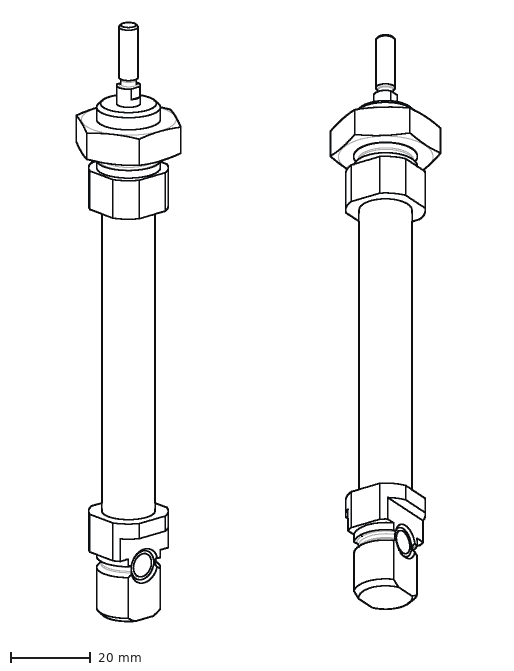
import cadquery as cq
import math

total_height = 155.8
rod_thread_length = 16.0
rod_shoulder_z = total_height - rod_thread_length
wrench_flat_height = 2.8
nose_top_z = 135.0
nut_bottom_z = 122.8
nut_height = 8.0
front_cap_top_z = 118.0
front_cap_bottom_z = 107.8
rear_cap_top_z = 27.0
rear_cap_bottom_z = 17.0
lug_top_z = 23.0

tube_diameter = 13.3
cap_diameter = 20.0
cap_across_flats = 18.0
neck_diameter = 16.0
groove_diameter = 13.7
groove_length = 2.9
groove_corner_radius = 0.5
shoulder_length = 2.0
nose_chamfer = 1.0
tail_chamfer = 1.3
lug_thickness = 12.0
pivot_z = 14.0
pivot_diameter = 6.0
pivot_recess_diameter = 7.5
pivot_rim_diameter = 8.9

rod_diameter = 6.0
rod_across_flats = 5.25
rod_thread_diameter = 4.83
rod_tip_diameter = 3.9
rod_tip_chamfer_height = 0.55
relief_diameter = 3.97
relief_length = 2.1
relief_corner_radius = 0.35
rod_end_z = front_cap_bottom_z

nut_across_flats = 24.0
nut_across_corners = nut_across_flats / math.cos(math.pi / 6)
nut_face_diameter = 23.7
nut_chamfer_angle = math.radians(15)


def cylinder(diameter, bottom_z, top_z):
    height = top_z - bottom_z
    return cq.Workplane("XY").workplane(offset=bottom_z).circle(diameter / 2).extrude(height)


def turned(half_profile):
    """Revolve a list of (radius, z) points, closed along the Z axis."""
    points = [(0, half_profile[0][1])] + half_profile + [(0, half_profile[-1][1])]
    return cq.Workplane("XZ").polyline(points).close().revolve(360, (0, 0, 0), (0, 1, 0))


def flatted_cap(bottom_z, top_z):
    """Round cap with four wrench flats."""
    height = top_z - bottom_z
    square = cq.Workplane("XY").workplane(offset=bottom_z).rect(cap_across_flats, cap_across_flats)
    return cylinder(cap_diameter, bottom_z, top_z).intersect(square.extrude(height))


def relief_groove(outer_diameter, floor_diameter, corner_radius, length, shoulder_z, direction):
    """Ring to cut beside a shoulder: square side, rounded corners and a 45 degree run-out.

    direction is +1 when the groove lies above the shoulder and -1 when it lies below.
    """
    outer_r = outer_diameter / 2
    floor_r = floor_diameter / 2
    runout_z = shoulder_z + direction * length
    floor_end_z = runout_z - direction * (outer_r - floor_r)
    profile = cq.Workplane("XZ").polyline([
        (floor_r, shoulder_z),
        (outer_r, shoulder_z),
        (outer_r, runout_z),
        (floor_r, floor_end_z),
    ])
    ring = profile.close().revolve(360, (0, 0, 0), (0, 1, 0))
    return ring.edges(cq.selectors.RadiusNthSelector(0)).fillet(corner_radius)


def threaded_nose():
    neck_r = neck_diameter / 2
    nose = turned([
        (neck_r, front_cap_bottom_z),
        (neck_r, nose_top_z - nose_chamfer),
        (neck_r - nose_chamfer, nose_top_z),
    ])
    shoulder_z = front_cap_top_z + shoulder_length
    return nose.cut(relief_groove(neck_diameter, groove_diameter, groove_corner_radius,
                                  groove_length, shoulder_z, 1))


def threaded_tail():
    neck_r = neck_diameter / 2
    tail = turned([
        (neck_r - tail_chamfer, 0),
        (neck_r, tail_chamfer),
        (neck_r, rear_cap_top_z),
    ])
    shoulder_z = rear_cap_bottom_z - shoulder_length
    return tail.cut(relief_groove(neck_diameter, groove_diameter, groove_corner_radius,
                                  groove_length, shoulder_z, -1))


def pivot_hole():
    """Cross hole along X, with a flat-floored, sloping-walled recess at both lug faces."""
    half_length = lug_thickness / 2
    rim_r = pivot_rim_diameter / 2
    recess_r = pivot_recess_diameter / 2
    recess_depth = rim_r - recess_r
    hole = cq.Workplane("YZ").center(0, pivot_z).circle(pivot_diameter / 2).extrude(half_length, both=True)
    for side in (-1, 1):
        face_centre = cq.Vector(side * half_length, 0, pivot_z)
        inward = cq.Vector(-side, 0, 0)
        recess = cq.Solid.makeCone(rim_r, recess_r, recess_depth, face_centre, inward)
        hole = hole.union(cq.Workplane(recess))
    return hole


def lug_side(side):
    """Material removed beside the pivot lug."""
    width = cap_diameter
    centre_x = side * (lug_thickness + width) / 2
    return cq.Workplane("XY").center(centre_x, 0).rect(width, 2 * cap_diameter).extrude(lug_top_z)


def build_rod():
    rod_r = rod_diameter / 2
    thread_r = rod_thread_diameter / 2
    tip_r = rod_tip_diameter / 2
    rod = turned([
        (rod_r, rod_end_z),
        (rod_r, rod_shoulder_z),
        (thread_r, rod_shoulder_z),
        (thread_r, total_height - rod_tip_chamfer_height),
        (tip_r, total_height),
    ])
    rod = rod.cut(relief_groove(rod_thread_diameter, relief_diameter, relief_corner_radius,
                                relief_length, rod_shoulder_z, 1))
    flat_z = rod_shoulder_z - wrench_flat_height
    for side in (-1, 1):
        centre_x = side * (rod_across_flats + rod_diameter) / 2
        cutter = cq.Workplane("XY").workplane(offset=flat_z).center(centre_x, 0)
        rod = rod.cut(cutter.rect(rod_diameter, 2 * rod_diameter).extrude(wrench_flat_height))
    return rod


def build_housing():
    housing = cylinder(tube_diameter, rear_cap_top_z, front_cap_bottom_z)
    housing = housing.union(flatted_cap(front_cap_bottom_z, front_cap_top_z))
    housing = housing.union(flatted_cap(rear_cap_bottom_z, rear_cap_top_z))
    housing = housing.union(threaded_nose()).union(threaded_tail())
    for side in (-1, 1):
        housing = housing.cut(lug_side(side))
    return housing.cut(pivot_hole()).cut(cylinder(rod_diameter, rod_end_z, nose_top_z))


def build_nut():
    hexagon = cq.Workplane("XY").workplane(offset=nut_bottom_z).polygon(6, nut_across_corners)
    nut = hexagon.extrude(nut_height).rotate((0, 0, 0), (0, 0, 1), 90)
    corner_r = nut_across_corners / 2
    face_r = nut_face_diameter / 2
    bevel = (corner_r - face_r) * math.tan(nut_chamfer_angle)
    nut_top_z = nut_bottom_z + nut_height
    envelope = turned([
        (face_r, nut_bottom_z),
        (corner_r, nut_bottom_z + bevel),
        (corner_r, nut_top_z - bevel),
        (face_r, nut_top_z),
    ])
    return nut.intersect(envelope).cut(cylinder(neck_diameter, nut_bottom_z, nut_top_z))


housing = build_housing()
rod = build_rod()
nut = build_nut()
result = cq.Compound.makeCompound([
    housing.solids().val(),
    rod.solids().val(),
    nut.solids().val(),
])